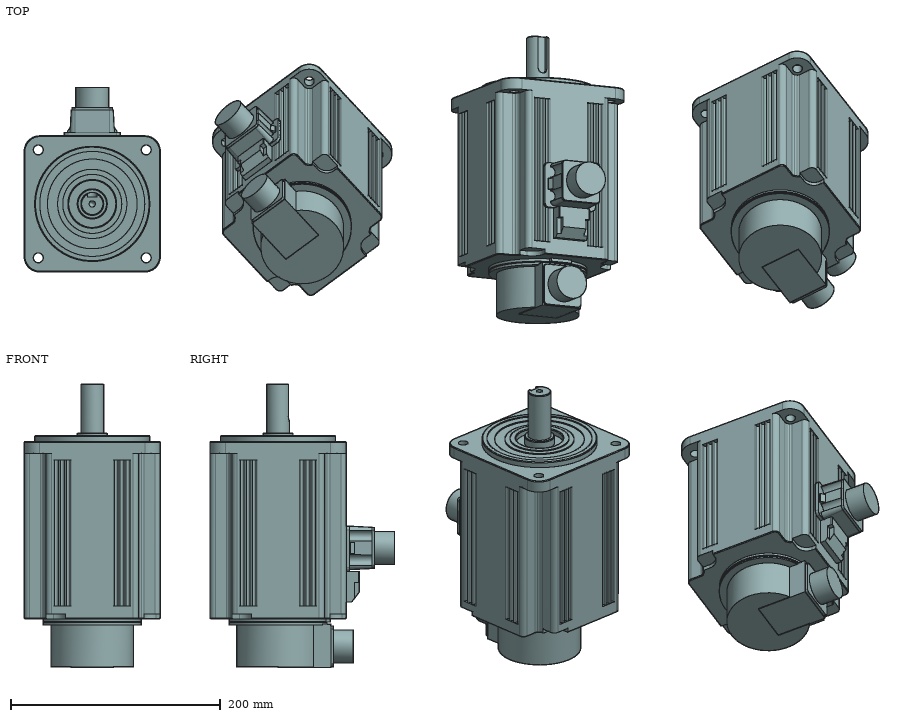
import cadquery as cq
import math

MOTOR_BOTTOM = 46.5
FINS_BOTTOM = 58.8
FINS_TOP = 198.0
NOTCH_TOP = 204.5
FLANGE_TOP = 216.0
PILOT_TOP = 221.7
COLLAR_TOP = 224.0
SHAFT_TOP = 271.0

BODY_WIDTH = 130.0
BODY_HALF = BODY_WIDTH / 2
FLANGE_CORNER_RADIUS = 15.0
EDGE_CHAMFER = 0.8
BOLT_SPACING = 103.0
BOLT_HOLE_DIAMETER = 9.2
NOTCH_WALL = 44.2
NOTCH_LOBE_RADIUS = 5.1
NOTCH_BEND_RADIUS = 3.5
NOTCH_BEND_START = 49.3

GROOVE_CENTERS = (22.8, 28.5, 34.1)
GROOVE_WIDTH = 3.5
GROOVE_LIP_RADIUS = 0.8
GROOVE_DEPTH = 3.5

RELIEF_END = 25.5
RELIEF_BACK = 49.5
RELIEF_HEIGHT = 4.5
RELIEF_RADIUS = 11.5

PILOT_RADIUS = 55.0
RING_STEP = 1.0
RING_RADII = (50.0, 42.8, 33.0, 28.2)
RECESS_RADIUS = 22.5
RECESS_DEPTH = 5.5
COLLAR_RADIUS = 14.4
SHAFT_DIAMETER = 22.0
CENTER_HOLE_RADIUS = 3.0
CENTER_HOLE_DEPTH = 13.5
KEYWAY_WIDTH = 9.2
KEYWAY_FLOOR = 6.5
KEYWAY_BOTTOM = 235.0

ENCODER_BOTTOM = 0.8
ENCODER_TOP = 40.6
ENCODER_RADIUS = 39.5
ADAPTER_RADIUS = 47.0
SEAM_HEIGHT = 43.5
SEAM_SIZE = 0.8
TAB_WIDTH = 21.7
TAB_END = 49.9

COVER_WIDTH = 39.0
COVER_THICKNESS = 2.5
COVER_CORNER_RADIUS = 2.7
PLUG_DIAMETER = 31.7
ENCODER_BLOCK_WIDTH = 40.6
ENCODER_BLOCK_HEIGHT = 41.7
ENCODER_BLOCK_END = 50.5
ENCODER_PLUG_END = 71.8
ENCODER_PLUG_Z = 20.3

BRAKE_WIDTH = 32.5
BRAKE_END = 77.5
BRAKE_CHAMFER_END = 70.2
BRAKE_CHAMFER_Z = 72.0
BRAKE_BOTTOM = 62.5
BRAKE_TOP = 92.0
BRAKE_STEP_Y = 73.0
BRAKE_STEP_TOP = 81.3
BRAKE_STEP_WIDTH = 4.0

POWER_Z = 114.4
POWER_BASE_WIDTH = 53.7
POWER_BASE_HEIGHT = 43.4
POWER_BASE_Z = BRAKE_TOP + POWER_BASE_HEIGHT / 2
POWER_BASE_END = 68.3
POWER_BLOCK_WIDTH = 42.5
POWER_BLOCK_HEIGHT = 41.7
POWER_BLOCK_END = 89.5
POWER_BASE_CORNER_RADIUS = 3.8
POWER_BLOCK_CORNER_RADIUS = 5.0
POWER_TAPER = 3.0
POWER_PLUG_END = 111.0
CHANNEL_RADIUS = 5.1
CHANNEL_OFFSET = 11.7
GUSSET_HEIGHT = 10.5
GUSSET_ROOT = 20.3
GUSSET_TOP = 74.0
GUSSET_TIP = 23.8
GUSSET_TIP_END = 69.0

CUT_MARGIN = 2.7


def cylinder(radius, bottom, top):
    """Upright cylinder on the motor axis."""
    return cq.Workplane("XY").workplane(offset=bottom).circle(radius).extrude(top - bottom)


def ring(outer_radius, inner_radius, bottom, top):
    """Upright ring on the motor axis."""
    return cylinder(outer_radius, bottom, top).cut(cylinder(inner_radius, bottom, top))


def box(x_range, y_range, z_range):
    """Axis-aligned box from its limits on each axis."""
    (x0, x1), (y0, y1), (z0, z1) = x_range, y_range, z_range
    return cq.Workplane("XY").box(x1 - x0, y1 - y0, z1 - z0, centered=False).translate((x0, y0, z0))


def facing_y(y, z):
    """Sketch plane facing +Y, centred on x = 0 at the given y and z."""
    return cq.Workplane(cq.Plane(origin=(0, y, z), xDir=(-1, 0, 0), normal=(0, 1, 0)))


def around_axis(shape):
    """Four copies of a shape, a quarter turn apart about the motor axis."""
    return [shape.rotate((0, 0, 0), (0, 0, 1), 90 * turn) for turn in range(4)]


def cut_all(body, tools):
    """Cut every tool in a list from the body."""
    for tool in tools:
        body = body.cut(tool)
    return body


def corner_notch():
    """Prism removed from the (-X, -Y) corner: rounded lobes and a blunt inner bend."""
    lobe = NOTCH_LOBE_RADIUS
    lobe_mid = lobe * (1 - math.sqrt(0.5))

    bend_middle = math.radians(22.5)
    bend_finish = math.radians(45)
    arc_x = NOTCH_BEND_START - NOTCH_BEND_RADIUS * math.sin(bend_middle)
    arc_y = NOTCH_WALL + NOTCH_BEND_RADIUS * (1 - math.cos(bend_middle))
    flat_x = NOTCH_BEND_START - NOTCH_BEND_RADIUS * math.sin(bend_finish)
    flat_y = NOTCH_WALL + NOTCH_BEND_RADIUS * (1 - math.cos(bend_finish))
    outside = BODY_HALF + CUT_MARGIN
    face_start = NOTCH_WALL - lobe
    return (
        cq.Workplane("XY").workplane(offset=MOTOR_BOTTOM)
        .moveTo(-outside, -face_start)
        .lineTo(-BODY_HALF, -face_start)
        .threePointArc(
            (-BODY_HALF + lobe_mid, -NOTCH_WALL + lobe_mid),
            (-BODY_HALF + lobe, -NOTCH_WALL),
        )
        .lineTo(-NOTCH_BEND_START, -NOTCH_WALL)
        .threePointArc((-arc_x, -arc_y), (-flat_x, -flat_y))
        .lineTo(-flat_y, -flat_x)
        .threePointArc((-arc_y, -arc_x), (-NOTCH_WALL, -NOTCH_BEND_START))
        .lineTo(-NOTCH_WALL, -BODY_HALF + lobe)
        .threePointArc(
            (-NOTCH_WALL + lobe_mid, -BODY_HALF + lobe_mid),
            (-face_start, -BODY_HALF),
        )
        .lineTo(-face_start, -outside)
        .lineTo(-outside, -outside)
        .close()
        .extrude(NOTCH_TOP - MOTOR_BOTTOM)
    )


def lobe_relief():
    """Shallow pocket under the lobe at the -X end of the -Y face."""
    relief = box(
        (-NOTCH_WALL - CUT_MARGIN, -RELIEF_END),
        (-BODY_HALF - CUT_MARGIN, -RELIEF_BACK),
        (MOTOR_BOTTOM, MOTOR_BOTTOM + RELIEF_HEIGHT),
    )
    return relief.edges("|Z and >X and >Y").fillet(RELIEF_RADIUS)


def cooling_groove(x):
    """Vertical groove in the -Y face with a round bottom and rounded lips."""
    radius = GROOVE_WIDTH / 2
    lip = GROOVE_LIP_RADIUS
    lip_mid = lip * (1 - math.sqrt(0.5))
    floor = -BODY_HALF + GROOVE_DEPTH
    return (
        cq.Workplane("XY").workplane(offset=FINS_BOTTOM)
        .moveTo(x - radius - lip, -BODY_HALF)
        .threePointArc((x - radius - lip_mid, -BODY_HALF + lip_mid), (x - radius, -BODY_HALF + lip))
        .lineTo(x - radius, floor - radius)
        .threePointArc((x, floor), (x + radius, floor - radius))
        .lineTo(x + radius, -BODY_HALF + lip)
        .threePointArc((x + radius + lip_mid, -BODY_HALF + lip_mid), (x + radius + lip, -BODY_HALF))
        .close()
        .extrude(FINS_TOP - FINS_BOTTOM)
    )


def motor_body():
    height = FLANGE_TOP - MOTOR_BOTTOM
    body = (
        cq.Workplane("XY").workplane(offset=MOTOR_BOTTOM)
        .rect(BODY_WIDTH, BODY_WIDTH).extrude(height)
        .edges("|Z").fillet(FLANGE_CORNER_RADIUS)
        .faces(">Z").chamfer(EDGE_CHAMFER)
    )
    body = cut_all(body, around_axis(corner_notch())).faces("<Z").chamfer(EDGE_CHAMFER)
    body = cut_all(body, around_axis(lobe_relief()))
    for center in GROOVE_CENTERS:
        for x in (-center, center):
            body = cut_all(body, around_axis(cooling_groove(x)))
    bolt_holes = (
        cq.Workplane("XY").workplane(offset=MOTOR_BOTTOM)
        .rect(BOLT_SPACING, BOLT_SPACING, forConstruction=True).vertices()
        .circle(BOLT_HOLE_DIAMETER / 2).extrude(height)
    )
    return body.cut(bolt_holes)


def pilot_and_shaft():
    pilot = cylinder(PILOT_RADIUS, FLANGE_TOP, PILOT_TOP).faces(">Z").edges().chamfer(EDGE_CHAMFER)

    rim, outer_step, inner_step, hub = RING_RADII
    for outer, inner, depth in ((rim, hub, RING_STEP), (outer_step, inner_step, 2 * RING_STEP)):
        pilot = pilot.cut(ring(outer, inner, PILOT_TOP - depth, PILOT_TOP))
    recess_mouth = cq.Workplane("XY").workplane(offset=PILOT_TOP).circle(RECESS_RADIUS + EDGE_CHAMFER)
    mouth_cone = recess_mouth.workplane(offset=-EDGE_CHAMFER).circle(RECESS_RADIUS).loft(ruled=True)
    pilot = pilot.cut(cylinder(RECESS_RADIUS, PILOT_TOP - RECESS_DEPTH, PILOT_TOP)).cut(mouth_cone)

    collar = cylinder(COLLAR_RADIUS, FLANGE_TOP, COLLAR_TOP).faces(">Z").edges().chamfer(EDGE_CHAMFER)
    shaft = cylinder(SHAFT_DIAMETER / 2, FLANGE_TOP, SHAFT_TOP).faces(">Z").edges().chamfer(EDGE_CHAMFER)
    return pilot.union(collar).union(shaft.cut(center_hole()).cut(keyway()))


def center_hole():
    """Drilled hole with a conical end in the shaft tip."""
    floor = SHAFT_TOP - CENTER_HOLE_DEPTH
    return (
        cq.Workplane("XZ")
        .moveTo(0, SHAFT_TOP)
        .lineTo(CENTER_HOLE_RADIUS, SHAFT_TOP)
        .lineTo(CENTER_HOLE_RADIUS, floor)
        .lineTo(0, floor - CENTER_HOLE_RADIUS)
        .close()
        .revolve(360, (0, 0, 0), (0, 1, 0))
    )


def keyway():
    """Keyway on the +Y side, open at the shaft tip and rounded at its lower end."""
    radius = KEYWAY_WIDTH / 2
    return (
        facing_y(KEYWAY_FLOOR, KEYWAY_BOTTOM + radius)
        .moveTo(-radius, 0)
        .threePointArc((0, -radius), (radius, 0))
        .lineTo(radius, SHAFT_TOP - KEYWAY_BOTTOM)
        .lineTo(-radius, SHAFT_TOP - KEYWAY_BOTTOM)
        .close()
        .extrude(SHAFT_DIAMETER / 2)
    )


def cover_and_plug(block_end, plug_end, z):
    """Square cover plate with a round plug pointing along +Y."""
    cover = (
        facing_y(block_end, z)
        .rect(COVER_WIDTH, COVER_WIDTH).extrude(COVER_THICKNESS)
        .edges("|Y").fillet(COVER_CORNER_RADIUS)
    )
    plug = facing_y(block_end, z).circle(PLUG_DIAMETER / 2).extrude(plug_end - block_end)
    return cover.union(plug)


def encoder():
    seam_bottom = SEAM_HEIGHT - SEAM_SIZE / 2
    seam = ring(ADAPTER_RADIUS, ADAPTER_RADIUS - SEAM_SIZE, seam_bottom, seam_bottom + SEAM_SIZE)
    adapter = cylinder(ADAPTER_RADIUS, ENCODER_TOP, MOTOR_BOTTOM).cut(seam)
    tab = box((-TAB_WIDTH / 2, TAB_WIDTH / 2), (0, TAB_END), (SEAM_HEIGHT, MOTOR_BOTTOM))
    half_block = ENCODER_BLOCK_WIDTH / 2
    block = box((-half_block, half_block), (0, ENCODER_BLOCK_END), (0, ENCODER_BLOCK_HEIGHT))
    housing = cylinder(ENCODER_RADIUS, ENCODER_BOTTOM, ENCODER_TOP)
    connector = cover_and_plug(ENCODER_BLOCK_END, ENCODER_PLUG_END, ENCODER_PLUG_Z)
    return adapter.union(tab).union(housing).union(block).union(connector)


def power_connector():
    base = (
        facing_y(BODY_HALF, POWER_BASE_Z)
        .rect(POWER_BASE_WIDTH, POWER_BASE_HEIGHT).extrude(POWER_BASE_END - BODY_HALF)
        .edges("|Y").fillet(POWER_BASE_CORNER_RADIUS)
    )
    block_length = POWER_BLOCK_END - POWER_BASE_END
    outline = (
        cq.Sketch().rect(POWER_BLOCK_WIDTH, POWER_BLOCK_HEIGHT)
        .vertices().fillet(POWER_BLOCK_CORNER_RADIUS)
    )
    block = facing_y(POWER_BASE_END, POWER_Z).placeSketch(outline).extrude(block_length, taper=POWER_TAPER)

    half_width = POWER_BLOCK_WIDTH / 2
    channel_places = [(x, z) for x in (-half_width, half_width) for z in (-CHANNEL_OFFSET, CHANNEL_OFFSET)]
    channels = (
        facing_y(POWER_BASE_END, POWER_Z)
        .pushPoints(channel_places).circle(CHANNEL_RADIUS).extrude(block_length)
    )

    gusset = (
        cq.Workplane("XY").workplane(offset=POWER_Z - GUSSET_HEIGHT / 2)
        .moveTo(0, POWER_BASE_END)
        .lineTo(GUSSET_TIP, POWER_BASE_END)
        .lineTo(GUSSET_TIP, GUSSET_TIP_END)
        .lineTo(GUSSET_ROOT, GUSSET_TOP)
        .lineTo(0, GUSSET_TOP)
        .close()
        .extrude(GUSSET_HEIGHT)
    )
    gussets = gusset.union(gusset.mirror("YZ"))
    connector = cover_and_plug(POWER_BLOCK_END, POWER_PLUG_END, POWER_Z)
    return base.union(block.cut(channels)).union(gussets).union(connector)


def brake_connector():
    half_width = BRAKE_WIDTH / 2
    body = (
        cq.Workplane("YZ").workplane(offset=-half_width)
        .moveTo(BODY_HALF, BRAKE_TOP)
        .lineTo(BRAKE_END, BRAKE_TOP)
        .lineTo(BRAKE_END, BRAKE_CHAMFER_Z)
        .lineTo(BRAKE_CHAMFER_END, BRAKE_BOTTOM)
        .lineTo(BODY_HALF, BRAKE_BOTTOM)
        .close()
        .extrude(BRAKE_WIDTH)
        .faces(">Y").edges("|Z").chamfer(EDGE_CHAMFER)
    )
    inner = half_width - BRAKE_STEP_WIDTH
    for x_range in ((-half_width, -inner), (inner, half_width)):
        body = body.cut(box(x_range, (BRAKE_STEP_Y, BRAKE_END), (BRAKE_BOTTOM, BRAKE_STEP_TOP)))
    return body


result = (
    motor_body()
    .union(pilot_and_shaft())
    .union(encoder())
    .union(power_connector())
    .union(brake_connector())
)